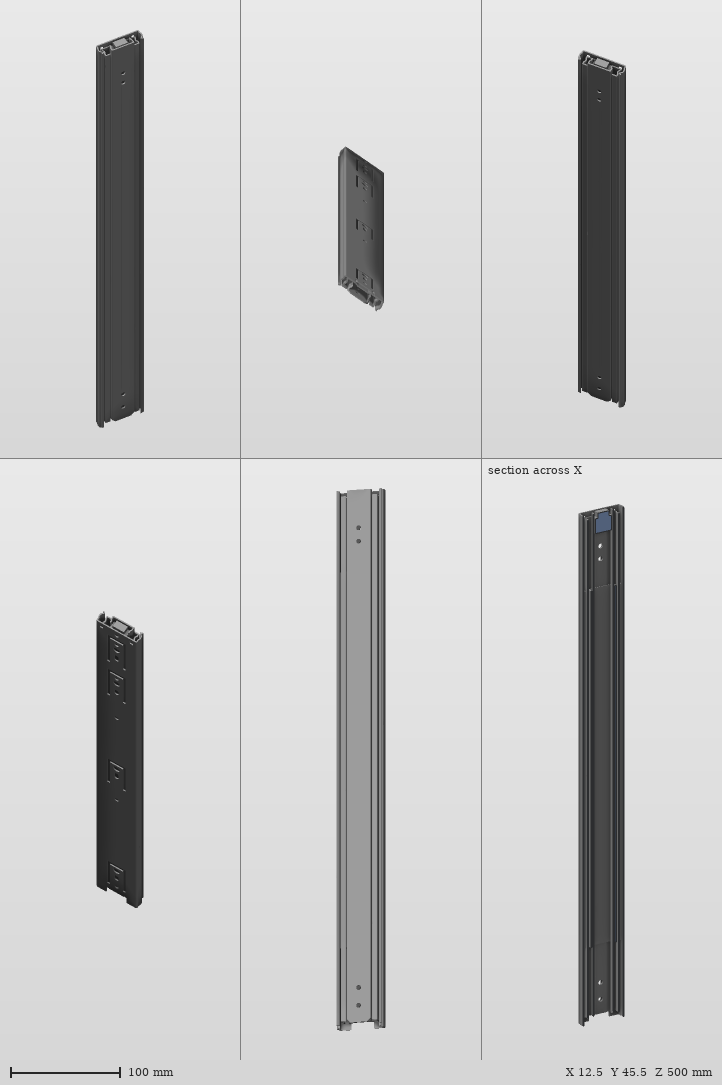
import cadquery as cq


LENGTH = 500.0
WIDTH = 45.5
DEPTH = 12.5
SHEET = 1.2
HALF_SHEET = SHEET / 2
CUT_REACH = 2 * DEPTH

RACEWAY_NEAR_X = 4.0
RACEWAY_FAR_X = 8.5
RACEWAY_MIDDLE_X = (RACEWAY_NEAR_X + RACEWAY_FAR_X) / 2

OUTER_FLANGE_Y = 22.0
OUTER_RACEWAY_FLANK = 0.25
OUTER_RACEWAY_RISE = 0.35
OUTER_BEND_RADIUS = 1.0
LIP_VALLEY_X = 10.5
LIP_VALLEY_Y = 19.5
LIP_TIP_X = 11.5
LIP_TIP_Y = 21.0
LIP_RELIEF = 2.5
NOTCH_HALF_WIDTH = 11.0
NOTCH_HEIGHT = 8.5
NOTCH_RELIEF_RADIUS = 1.5

MIDDLE_BOTTOM = 6.0
MIDDLE_TOP = 495.0
MIDDLE_SIDE_X = 2.1
MIDDLE_CENTRE_X = 3.1
MIDDLE_FLAT_Y = 5.5
MIDDLE_STEP_Y = 8.5
MIDDLE_FLANGE_Y = 17.0
MIDDLE_RACEWAY_Y = 16.0
MIDDLE_LIP_X = 11.0
MIDDLE_LIP_Y = 13.0

INNER_BOTTOM = 4.5
INNER_FLANGE_Y = 11.0
INNER_RACEWAY_Y = 10.0
INNER_EDGE_X = 5.5
INNER_CORNER_CUT = 3.5

RETAINER_BOTTOM = 75.0
RETAINER_TOP = 425.0
OUTER_RETAINER_X = (2.5, 7.0)
OUTER_RETAINER_Y = (18.0, 20.0)
INNER_RETAINER_X = (3.9, 9.5)
INNER_RETAINER_Y = 14.0
INNER_RETAINER_WALL = 2.0
INNER_RETAINER_WEB = 0.5
STOP_HALF_WIDTH = 6.0
STOP_FACE_X = 10.0
STOP_BASE_HALF_WIDTH = 9.0
STOP_BASE_TOP = 495.0
STOP_LENGTH = 20.0

TABS = [(485.0, 49.0), (421.0, 48.0), (252.0, 43.5), (59.5, 41.5)]
TAB_HALF_WIDTH = 7.0
TAB_SLOT = 3.0
TAB_TOP_SLOT = 4.5

SMALL_DIAMETER = 4.5
LARGE_DIAMETER = 7.0
SMALL_HOLES = [492.0, 474.5, 411.0, 337.0, 183.5, 19.5]
LARGE_HOLES = [464.5, 401.5, 241.0, 49.0]
OBLONG_HOLES = [(449.5, 9.5), (385.5, 8.0), (228.0, 9.5), (36.0, 8.0)]

WINDOW_Y = 16.0
WINDOW_Z = 494.0
WINDOW_WIDTH = 3.5
WINDOW_HEIGHT = 5.0

ACCESS_HOLES = [464.5, 452.0, 36.5, 20.0]


def sheet_rail(half_line, bottom, top):
    """Rail of constant sheet thickness, symmetric about Y = 0, from the +Y half of its mid-line."""
    half = half_line.wire().offset2D(HALF_SHEET).extrude(top - bottom).translate((0, 0, bottom))
    return half.union(half.mirror("XZ")).clean()


def box(x_range, y_range, z_range):
    """A box from its lower and upper limits along X, Y and Z."""
    limits = (x_range, y_range, z_range)
    size = [high - low for low, high in limits]
    corner = tuple(low for low, high in limits)
    return cq.Workplane("XY").box(*size, centered=False).translate(corner)


def web_plane():
    """Sketch plane at X = 0 with local axes Y and Z, for features cut in the webs."""
    return cq.Workplane("YZ")


def round_cutter(heights, diameter):
    """Round cutters along X on the centre line."""
    points = [(0, z) for z in heights]
    return web_plane().pushPoints(points).circle(diameter / 2).extrude(CUT_REACH)


def tab_slot(top, length):
    """U-shaped slot, open downward, that leaves a spring tab."""
    outer_half = TAB_HALF_WIDTH + TAB_SLOT
    whole = box((0, SHEET), (-outer_half, outer_half), (top - length, top))
    tab = box((0, SHEET), (-TAB_HALF_WIDTH, TAB_HALF_WIDTH), (top - length, top - TAB_TOP_SLOT))
    return whole.cut(tab)


def web_holes():
    """All holes on the centre line of the outer web, and the two windows near the top."""
    cutter = round_cutter(SMALL_HOLES, SMALL_DIAMETER).union(round_cutter(LARGE_HOLES, LARGE_DIAMETER))
    for height, length in OBLONG_HOLES:
        cutter = cutter.union(web_plane().center(0, height).slot2D(length, SMALL_DIAMETER, 90).extrude(SHEET))
    windows = [(side * WINDOW_Y, WINDOW_Z) for side in (-1, 1)]
    return cutter.union(web_plane().pushPoints(windows).rect(WINDOW_WIDTH, WINDOW_HEIGHT).extrude(SHEET))


def end_notch():
    """Notch in the lower end of the outer web, with round reliefs in its corners."""
    notch = box((0, SHEET), (-NOTCH_HALF_WIDTH, NOTCH_HALF_WIDTH), (0, NOTCH_HEIGHT))
    relief_y = NOTCH_HALF_WIDTH - NOTCH_RELIEF_RADIUS
    reliefs = [(side * relief_y, NOTCH_HEIGHT) for side in (-1, 1)]
    return notch.union(web_plane().pushPoints(reliefs).circle(NOTCH_RELIEF_RADIUS).extrude(SHEET))


def build_outer_rail():
    flange_y = OUTER_FLANGE_Y - HALF_SHEET
    raceway_y = WIDTH / 2 - HALF_SHEET
    shoulder_y = raceway_y - OUTER_RACEWAY_RISE
    half_line = (
        cq.Workplane("XY")
        .moveTo(HALF_SHEET, 0)
        .lineTo(HALF_SHEET, flange_y - OUTER_BEND_RADIUS)
        .radiusArc((HALF_SHEET + OUTER_BEND_RADIUS, flange_y), OUTER_BEND_RADIUS)
        .lineTo(RACEWAY_NEAR_X, flange_y)
        .lineTo(RACEWAY_NEAR_X + OUTER_RACEWAY_FLANK, shoulder_y)
        .threePointArc((RACEWAY_MIDDLE_X, raceway_y), (RACEWAY_FAR_X - OUTER_RACEWAY_FLANK, shoulder_y))
        .lineTo(RACEWAY_FAR_X, flange_y)
        .lineTo(LIP_VALLEY_X, LIP_VALLEY_Y)
        .lineTo(LIP_TIP_X, LIP_TIP_Y)
    )
    rail = sheet_rail(half_line, 0, LENGTH)
    for top, length in TABS:
        rail = rail.cut(tab_slot(top, length))
    rail = rail.cut(web_holes()).cut(end_notch())
    return rail.cut(box((LIP_VALLEY_X, DEPTH), (-WIDTH, WIDTH), (0, LIP_RELIEF)))


def build_middle_rail():
    half_line = (
        cq.Workplane("XY")
        .moveTo(MIDDLE_CENTRE_X, 0)
        .lineTo(MIDDLE_CENTRE_X, MIDDLE_FLAT_Y)
        .lineTo(MIDDLE_SIDE_X, MIDDLE_STEP_Y)
        .lineTo(MIDDLE_SIDE_X, MIDDLE_FLANGE_Y)
        .lineTo(RACEWAY_NEAR_X, MIDDLE_FLANGE_Y)
        .threePointArc((RACEWAY_MIDDLE_X, MIDDLE_RACEWAY_Y), (RACEWAY_FAR_X, MIDDLE_FLANGE_Y))
        .lineTo(MIDDLE_LIP_X, MIDDLE_FLANGE_Y)
        .lineTo(MIDDLE_LIP_X, MIDDLE_LIP_Y)
    )
    rail = sheet_rail(half_line, MIDDLE_BOTTOM, MIDDLE_TOP)
    return rail.cut(round_cutter(ACCESS_HOLES, SMALL_DIAMETER))


def build_inner_rail():
    half_line = (
        cq.Workplane("XY")
        .moveTo(DEPTH - HALF_SHEET, 0)
        .lineTo(DEPTH - HALF_SHEET, INNER_FLANGE_Y)
        .lineTo(RACEWAY_FAR_X, INNER_FLANGE_Y)
        .lineTo(RACEWAY_FAR_X - SHEET, INNER_RACEWAY_Y)
        .lineTo(INNER_EDGE_X, INNER_RACEWAY_Y)
    )
    rail = sheet_rail(half_line, INNER_BOTTOM, LENGTH)
    rail = rail.cut(round_cutter(ACCESS_HOLES, SMALL_DIAMETER))
    corner_y = INNER_FLANGE_Y + HALF_SHEET
    for side in (-1, 1):
        triangle = [
            (side * corner_y, INNER_BOTTOM),
            (side * (corner_y - INNER_CORNER_CUT), INNER_BOTTOM),
            (side * corner_y, INNER_BOTTOM + INNER_CORNER_CUT),
        ]
        rail = rail.cut(web_plane().polyline(triangle).close().extrude(CUT_REACH))
    return rail


def build_outer_retainer(side):
    """Strip between an outer flange (side = 1 or -1) and the middle rail."""
    y_range = sorted(side * y for y in OUTER_RETAINER_Y)
    return box(OUTER_RETAINER_X, y_range, (RETAINER_BOTTOM, RETAINER_TOP))


def build_inner_retainer():
    """Channel that wraps the inner rail inside the middle rail."""
    near_x, far_x = INNER_RETAINER_X
    inside_y = INNER_RETAINER_Y - INNER_RETAINER_WALL
    z_range = (RETAINER_BOTTOM, RETAINER_TOP)
    channel = box(INNER_RETAINER_X, (-INNER_RETAINER_Y, INNER_RETAINER_Y), z_range)
    return channel.cut(box((near_x + INNER_RETAINER_WEB, far_x), (-inside_y, inside_y), z_range))


def build_stop_block():
    """Block seated on the middle web, with a wider base that follows the step in that web."""
    x_range = (MIDDLE_CENTRE_X, STOP_FACE_X)
    bottom = LENGTH - STOP_LENGTH
    base = box(x_range, (-STOP_BASE_HALF_WIDTH, STOP_BASE_HALF_WIDTH), (bottom, STOP_BASE_TOP))
    neck = box(x_range, (-STOP_HALF_WIDTH, STOP_HALF_WIDTH), (bottom, LENGTH))
    return base.union(neck).cut(middle_rail)


outer_rail = build_outer_rail()
middle_rail = build_middle_rail()
inner_rail = build_inner_rail()
outer_retainers = [build_outer_retainer(side) for side in (-1, 1)]
inner_retainer = build_inner_retainer()
stop_block = build_stop_block()

result = cq.Compound.makeCompound([
    outer_rail.solids().val(),
    middle_rail.solids().val(),
    inner_rail.solids().val(),
    *[retainer.solids().val() for retainer in outer_retainers],
    inner_retainer.solids().val(),
    stop_block.solids().val(),
])